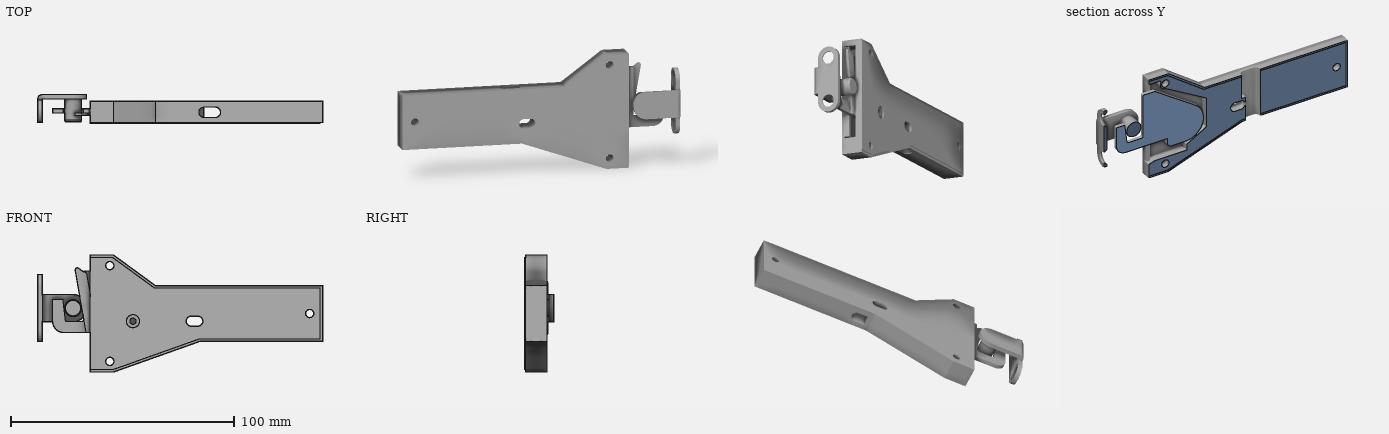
import cadquery as cq
import math


MOUTH_X = 23.5
END_X = 127.8
HEAD_HALF_HEIGHT = 26.3
ARM_HALF_HEIGHT = 12.5
HEAD_FLAT_END_X = 33.9
UPPER_SLOPE_END_X = 52.8
LOWER_SLOPE_END_X = 72.7
BACK_Y = 10.1
SHELL_RIM_Y = 0.4
SHELL_WALL = 1.2
COVER_BACK_Y = BACK_Y - SHELL_WALL

SCREW_RADIUS = 1.8
HEAD_SCREW_X = 32.3
HEAD_SCREW_Z = 21.5
ARM_SCREW_X = 122.0
PIVOT_X = 42.7
PIVOT_Z = -3.5
PIVOT_RADIUS = 1.4
PIVOT_RECESS_RADIUS = 3.0
PIVOT_RECESS_DEPTH = 0.8
FACE_SLOT_X = 70.3
FACE_SLOT_LENGTH = 7.4
FACE_SLOT_WIDTH = 4.3
EDGE_SLOT_X = 77.1
EDGE_SLOT_LENGTH = 9.7
EDGE_SLOT_WIDTH = 4.6
EDGE_SLOT_FLOOR_Z = 0.0

CAVITY_FRONT_Y = 3.2
CAVITY_TOP_Z = 23.7
CAVITY_MOUTH_BOTTOM_Z = -19.0
CAVITY_FLOOR_X = 26.7
CAVITY_FLOOR_Z = -17.9
CAVITY_STEP_X = 43.5
CAVITY_STEP_Z = -14.8
CAVITY_END_X = 53.7
CAVITY_END_TOP_Z = 6.4
CAVITY_END_BOTTOM_Z = -9.0
SCREW_BOSS_RADIUS = 2.8
SCREW_BOSS_FILLET = 0.6

LIP_LENGTH = 1.8
LIP_TOP_Z = 23.3
LIP_BOTTOM_Z = -18.3

LEVER_FRONT_Y = 3.7
HOOK_FRONT_Y = 4.7
HOOK_BACK_Y = 6.6

STRIKER_THICKNESS = 2.0
STRIKER_BACK_Y = 13.0
PLATE_WIDTH = 10.0
PLATE_LENGTH = 30.2
PLATE_Y = 5.5
PLATE_HOLE_RADIUS = 2.8
PLATE_HOLE_LAND = 0.6
PLATE_HOLE_SPACING = 20.0
STRIKER_Z = 2.4
LEG_WIDTH = 12.3
PIN_X = 15.9
PIN_RADIUS = 3.8
PIN_FRONT_Y = 0.8
PIN_CHAMFER_LENGTH = 0.8
PIN_CHAMFER_DEPTH = 0.4

HOOK_LEFT_X = 6.6
HOOK_TIP_Z = 6.4
HOOK_TIP_RIGHT_X = 11.3
HOOK_THROAT_LEFT_X = 12.4
HOOK_THROAT_RIGHT_X = 20.6
HOOK_THROAT_Z = -3.6
HOOK_THROAT_FILLET = 0.9
HOOK_TOP_Z = 19.2
HOOK_TOP_END_X = 26.8
HOOK_TOP_FILLET = 0.6
HOOK_HEEL_RADIUS = 5.0
HOOK_PIVOT_END_RADIUS = 9.7
HOOK_BODY_X = 33.2
HOOK_BODY_FILLET = 2.5
HOOK_BOTTOM_Z = -8.6

LEVER_TILT = math.radians(10)
LEVER_WIDTH = 4.9
LEVER_TIP_RADIUS = 1.0
LEVER_TIP_REACH = 16.5
LEVER_NOTCH_OFFSET = 3.3
LEVER_NOTCH_REACH = 15.5
LEVER_NOTCH_FILLET = 1.0
LEVER_SHOULDER_REACH = 14.8
LEVER_SHOULDER_FILLET = 1.5
LEVER_BOTTOM_FILLET = 0.5


def section(y):
    """Workplane at depth y, with local axes X and Z, extruding toward the front."""
    return cq.Workplane("XZ", origin=(0, y, 0))


def cylinder(x, z, radius, front_y, back_y):
    return section(back_y).center(x, z).circle(radius).extrude(back_y - front_y)


def round_corners(body, corners, middle_y):
    """Fillet edges along Y, given as ((x, z), radius) pairs."""
    for (x, z), radius in corners:
        nearest = cq.selectors.NearestToPointSelector((x, middle_y, z))
        body = body.edges("|Y").edges(nearest).fillet(radius)
    return body


def housing_prism(inset, front_y, back_y):
    """The housing outline, set in from every side but the mouth."""
    upper_slope = math.atan2(HEAD_HALF_HEIGHT - ARM_HALF_HEIGHT, UPPER_SLOPE_END_X - HEAD_FLAT_END_X)
    lower_slope = math.atan2(HEAD_HALF_HEIGHT - ARM_HALF_HEIGHT, LOWER_SLOPE_END_X - HEAD_FLAT_END_X)
    upper_shift = inset * math.tan(upper_slope / 2)
    lower_shift = inset * math.tan(lower_slope / 2)
    head = HEAD_HALF_HEIGHT - inset
    arm = ARM_HALF_HEIGHT - inset
    outline = [
        (MOUTH_X, -head),
        (HEAD_FLAT_END_X - lower_shift, -head),
        (LOWER_SLOPE_END_X - lower_shift, -arm),
        (END_X - inset, -arm),
        (END_X - inset, arm),
        (UPPER_SLOPE_END_X - upper_shift, arm),
        (HEAD_FLAT_END_X - upper_shift, head),
        (MOUTH_X, head),
    ]
    return section(back_y).polyline(outline).close().extrude(back_y - front_y)


def screw_holes():
    centres = [(HEAD_SCREW_X, HEAD_SCREW_Z), (HEAD_SCREW_X, -HEAD_SCREW_Z), (ARM_SCREW_X, 0)]
    return section(BACK_Y).pushPoints(centres).circle(SCREW_RADIUS).extrude(BACK_Y)


def face_slot():
    """Slot through the whole thickness."""
    return (
        section(BACK_Y).center(FACE_SLOT_X, PIVOT_Z)
        .slot2D(FACE_SLOT_LENGTH, FACE_SLOT_WIDTH).extrude(BACK_Y)
    )


def edge_slot():
    """Slot down through the arm; its rounded left end stops at a floor."""
    height = 2 * ARM_HALF_HEIGHT
    straight_start_x = EDGE_SLOT_X - (EDGE_SLOT_LENGTH - EDGE_SLOT_WIDTH) / 2
    slot = (
        cq.Workplane("XY", origin=(EDGE_SLOT_X, BACK_Y / 2, -ARM_HALF_HEIGHT))
        .slot2D(EDGE_SLOT_LENGTH, EDGE_SLOT_WIDTH).extrude(height)
    )
    solid_end = (
        cq.Workplane("XY", origin=(straight_start_x, BACK_Y / 2, EDGE_SLOT_FLOOR_Z))
        .rect(EDGE_SLOT_WIDTH, EDGE_SLOT_WIDTH).extrude(-height)
        .translate((-EDGE_SLOT_WIDTH / 2, 0, 0))
    )
    return slot.cut(solid_end)


def latch_cavity():
    """Recess for the latch, open at the mouth and toward the shell's back."""
    outline = [
        (MOUTH_X, CAVITY_TOP_Z),
        (HEAD_SCREW_X, CAVITY_TOP_Z),
        (HEAD_SCREW_X, HEAD_SCREW_Z - SCREW_BOSS_RADIUS),
        (CAVITY_END_X, CAVITY_END_TOP_Z),
        (CAVITY_END_X, CAVITY_END_BOTTOM_Z),
        (CAVITY_STEP_X, CAVITY_STEP_Z),
        (CAVITY_STEP_X, CAVITY_FLOOR_Z),
        (CAVITY_FLOOR_X, CAVITY_FLOOR_Z),
        (MOUTH_X, CAVITY_MOUTH_BOTTOM_Z),
    ]
    depth = COVER_BACK_Y - CAVITY_FRONT_Y
    cavity = section(COVER_BACK_Y).polyline(outline).close().extrude(depth)
    cavity = cavity.cut(
        cylinder(HEAD_SCREW_X, HEAD_SCREW_Z, SCREW_BOSS_RADIUS, CAVITY_FRONT_Y, COVER_BACK_Y)
    )
    rise = CAVITY_TOP_Z - HEAD_SCREW_Z
    corner_x = HEAD_SCREW_X - math.sqrt(SCREW_BOSS_RADIUS**2 - rise**2)
    corner = (corner_x, CAVITY_TOP_Z)
    return round_corners(cavity, [(corner, SCREW_BOSS_FILLET)], (CAVITY_FRONT_Y + COVER_BACK_Y) / 2)


def make_shell():
    """Tray with a back and walls, and a lip at the mouth."""
    shell = housing_prism(0, SHELL_RIM_Y, BACK_Y).cut(housing_prism(SHELL_WALL, 0, COVER_BACK_Y))
    lip_back_y = COVER_BACK_Y + SHELL_WALL / 2
    lip = (
        section(lip_back_y)
        .moveTo(MOUTH_X, LIP_BOTTOM_Z)
        .lineTo(MOUTH_X + LIP_LENGTH, LIP_BOTTOM_Z)
        .lineTo(MOUTH_X + LIP_LENGTH, LIP_TOP_Z)
        .lineTo(MOUTH_X, LIP_TOP_Z)
        .close()
        .extrude(lip_back_y - HOOK_BACK_Y)
    )
    return shell.union(lip).cut(screw_holes()).cut(face_slot()).cut(edge_slot())


def make_cover():
    """Thick cover that fills the shell around the latch cavity."""
    cover = housing_prism(SHELL_WALL, 0, COVER_BACK_Y).cut(latch_cavity())
    cover = cover.cut(screw_holes()).cut(face_slot()).cut(edge_slot())
    cover = cover.cut(cylinder(PIVOT_X, PIVOT_Z, PIVOT_RECESS_RADIUS, 0, PIVOT_RECESS_DEPTH))
    return cover.cut(cylinder(PIVOT_X, PIVOT_Z, PIVOT_RADIUS, 0, CAVITY_FRONT_Y))


def make_striker():
    """Bent plate: a round-ended mounting plate, a rounded leg and the pin on it."""
    plate = (
        cq.Workplane("YZ", origin=(0, PLATE_Y, STRIKER_Z))
        .slot2D(PLATE_LENGTH, PLATE_WIDTH, 90).extrude(STRIKER_THICKNESS)
    )
    neck = cq.Workplane("XY").box(
        STRIKER_THICKNESS, STRIKER_BACK_Y - PLATE_Y, LEG_WIDTH, centered=(False, False, True)
    ).translate((0, PLATE_Y, STRIKER_Z))
    leg_front_y = STRIKER_BACK_Y - STRIKER_THICKNESS
    leg = cq.Workplane("XY").box(
        PIN_X, STRIKER_THICKNESS, LEG_WIDTH, centered=(False, False, True)
    ).translate((0, leg_front_y, STRIKER_Z))
    bend = neck.union(leg).edges("|Z and <X and >Y").fillet(STRIKER_THICKNESS)
    leg_end = cylinder(PIN_X, STRIKER_Z, LEG_WIDTH / 2, leg_front_y, STRIKER_BACK_Y)
    pin = cylinder(PIN_X, STRIKER_Z, PIN_RADIUS, PIN_FRONT_Y, STRIKER_BACK_Y)
    pin = pin.faces("<Y").chamfer(PIN_CHAMFER_LENGTH, PIN_CHAMFER_DEPTH)
    body = plate.union(bend).union(leg_end).union(pin)
    sink_depth = STRIKER_THICKNESS - PLATE_HOLE_LAND
    for side in (-1, 1):
        hole = (
            cq.Workplane("XY")
            .polyline([
                (0, 0),
                (0, PLATE_HOLE_RADIUS),
                (PLATE_HOLE_LAND, PLATE_HOLE_RADIUS),
                (STRIKER_THICKNESS, PLATE_HOLE_RADIUS + sink_depth),
                (STRIKER_THICKNESS, 0),
            ])
            .close()
            .revolve(360, (0, 0), (1, 0))
        )
        body = body.cut(hole.translate((0, PLATE_Y, STRIKER_Z + side * PLATE_HOLE_SPACING / 2)))
    return body


def make_hook():
    """Flat hook that reaches round the pin and swings about the pivot."""
    dx = HOOK_TOP_END_X - PIVOT_X
    dz = HOOK_TOP_Z - PIVOT_Z
    tangent_angle = math.atan2(dz, dx) - math.acos(HOOK_PIVOT_END_RADIUS / math.hypot(dx, dz))
    tangent_point = (
        PIVOT_X + HOOK_PIVOT_END_RADIUS * math.cos(tangent_angle),
        PIVOT_Z + HOOK_PIVOT_END_RADIUS * math.sin(tangent_angle),
    )
    middle_angle = (tangent_angle - math.pi / 2) / 2
    end_middle = (
        PIVOT_X + HOOK_PIVOT_END_RADIUS * math.cos(middle_angle),
        PIVOT_Z + HOOK_PIVOT_END_RADIUS * math.sin(middle_angle),
    )
    body_bottom_z = PIVOT_Z - HOOK_PIVOT_END_RADIUS
    hook = (
        section(HOOK_BACK_Y)
        .moveTo(HOOK_LEFT_X, HOOK_BOTTOM_Z)
        .lineTo(HOOK_LEFT_X, HOOK_TIP_Z)
        .lineTo(HOOK_TIP_RIGHT_X, HOOK_TIP_Z)
        .lineTo(HOOK_THROAT_LEFT_X, HOOK_THROAT_Z)
        .lineTo(HOOK_THROAT_RIGHT_X, HOOK_THROAT_Z)
        .lineTo(HOOK_THROAT_RIGHT_X, HOOK_TOP_Z)
        .lineTo(HOOK_TOP_END_X, HOOK_TOP_Z)
        .lineTo(*tangent_point)
        .threePointArc(end_middle, (PIVOT_X, body_bottom_z))
        .lineTo(HOOK_BODY_X, body_bottom_z)
        .lineTo(HOOK_BODY_X, HOOK_BOTTOM_Z)
        .close()
        .extrude(HOOK_BACK_Y - HOOK_FRONT_Y)
    )
    rounded_corners = [
        ((HOOK_LEFT_X, HOOK_BOTTOM_Z), HOOK_HEEL_RADIUS),
        ((HOOK_THROAT_LEFT_X, HOOK_THROAT_Z), HOOK_THROAT_FILLET),
        ((HOOK_THROAT_RIGHT_X, HOOK_THROAT_Z), HOOK_THROAT_FILLET),
        ((HOOK_THROAT_RIGHT_X, HOOK_TOP_Z), HOOK_TOP_FILLET),
        ((HOOK_BODY_X, body_bottom_z), HOOK_BODY_FILLET),
    ]
    return round_corners(hook, rounded_corners, (HOOK_FRONT_Y + HOOK_BACK_Y) / 2)


def lever_point(across, along):
    """Place measured from the striker pin's centre, across and along the tilted lever."""
    return (
        PIN_X + across * math.cos(LEVER_TILT) - along * math.sin(LEVER_TILT),
        STRIKER_Z + across * math.sin(LEVER_TILT) + along * math.cos(LEVER_TILT),
    )


def lever_bottom(across):
    """Where the lever's edge at this offset meets the hook's bottom level."""
    along = (HOOK_BOTTOM_Z - STRIKER_Z - across * math.sin(LEVER_TILT)) / math.cos(LEVER_TILT)
    return lever_point(across, along)


def make_lever():
    """Tilted bar in front of the hook that rests against the pin."""
    left = PIN_RADIUS
    right = left + LEVER_WIDTH
    tip = left + LEVER_TIP_RADIUS
    tip_slant = LEVER_TIP_RADIUS * math.sqrt(0.5)
    notch = lever_point(left + LEVER_NOTCH_OFFSET, LEVER_NOTCH_REACH)
    shoulder = lever_point(right, LEVER_SHOULDER_REACH)
    lever = (
        section(HOOK_FRONT_Y)
        .moveTo(*lever_bottom(left))
        .lineTo(*lever_point(left, LEVER_TIP_REACH))
        .threePointArc(
            lever_point(tip - tip_slant, LEVER_TIP_REACH + tip_slant),
            lever_point(tip + tip_slant, LEVER_TIP_REACH + tip_slant),
        )
        .lineTo(*notch)
        .lineTo(*shoulder)
        .lineTo(*lever_bottom(right))
        .close()
        .extrude(HOOK_FRONT_Y - LEVER_FRONT_Y)
    )
    rounded_corners = [
        (notch, LEVER_NOTCH_FILLET),
        (shoulder, LEVER_SHOULDER_FILLET),
        (lever_bottom(left), LEVER_BOTTOM_FILLET),
    ]
    return round_corners(lever, rounded_corners, (LEVER_FRONT_Y + HOOK_FRONT_Y) / 2)


shell = make_shell()
cover = make_cover()
striker = make_striker()
hook = make_hook()
lever = make_lever()

result = cq.Compound.makeCompound(
    [shell.val(), cover.val(), striker.val(), hook.val(), lever.val()]
)